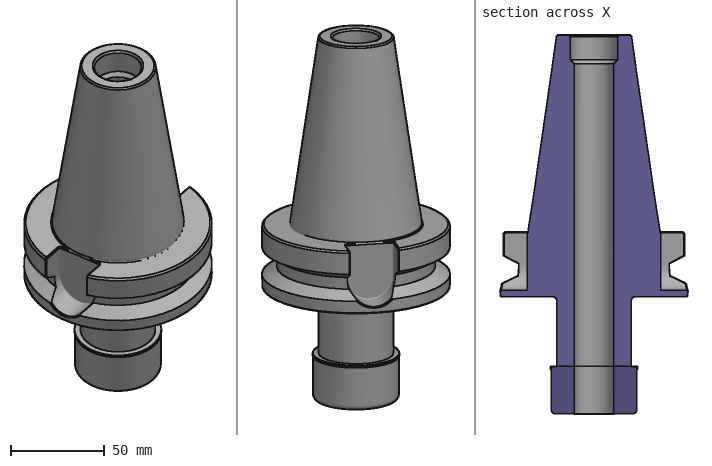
import cadquery as cq
total_height = 201.8
bore_dia = 20.8

nut_dia = 46.0
nut_height = 25.5
nut_bottom_fillet = 2.8
rim_dia = 46.5
rim_height = 1.8
rim_chamfer = 0.6

neck_dia = 40.0
neck_fillet = 2.0

flange_dia = 100.0
flange_bottom = 62.4
flange_top = 97.0
groove_dia = 84.4
lower_ring_top = 69.5
groove_floor_bottom = 73.7
groove_floor_top = 80.1
upper_ring_bottom = 84.4
flange_top_chamfer = 1.0
flange_bottom_chamfer = 0.6

taper_dia = 70.2
taper_bottom = 98.5
taper_base_fillet = 0.6
taper_ratio = 7 / 24
taper_top_chamfer = 0.8

socket_dia = 25.0
socket_depth = 13.3
socket_chamfer = 1.0

slot_width = 26.0
slot_floor_offset = 35.5
slot_bottom = 66.0
slot_edge_chamfer = 0.6
slot_floor_fillet = 0.6


def revolve_profile(points):
    """Revolve a closed (radius, height) outline about the Z axis."""
    return cq.Workplane("XZ").polyline(points).close().revolve(360, (0, 0, 0), (0, 1, 0))


def make_nut():
    rim_bottom = nut_height - rim_height
    body = cq.Workplane("XY").circle(nut_dia / 2).extrude(nut_height)
    body = body.faces("<Z").edges().fillet(nut_bottom_fillet)
    rim = cq.Workplane("XY").workplane(offset=rim_bottom).circle(rim_dia / 2).extrude(rim_height)
    rim = rim.edges().chamfer(rim_chamfer)
    bore = cq.Workplane("XY").circle(bore_dia / 2).extrude(nut_height)
    return body.union(rim).cut(bore)


def make_holder_blank():
    """Solid of revolution: neck, grooved flange and taper."""
    neck_radius = neck_dia / 2
    flange_radius = flange_dia / 2
    groove_radius = groove_dia / 2
    taper_radius = taper_dia / 2
    taper_top_radius = taper_radius - (total_height - taper_bottom) * taper_ratio / 2
    outline = (
        cq.Workplane("XZ")
        .moveTo(0, nut_height)
        .lineTo(neck_radius, nut_height)
        .lineTo(neck_radius, flange_bottom - neck_fillet)
        .radiusArc((neck_radius + neck_fillet, flange_bottom), neck_fillet)
        .lineTo(flange_radius - flange_bottom_chamfer, flange_bottom)
        .lineTo(flange_radius, flange_bottom + flange_bottom_chamfer)
        .lineTo(flange_radius, lower_ring_top)
        .lineTo(groove_radius, groove_floor_bottom)
        .lineTo(groove_radius, groove_floor_top)
        .lineTo(flange_radius, upper_ring_bottom)
        .lineTo(flange_radius, flange_top - flange_top_chamfer)
        .lineTo(flange_radius - flange_top_chamfer, flange_top)
        .lineTo(taper_radius + taper_base_fillet, flange_top)
        .radiusArc((taper_radius, flange_top + taper_base_fillet), taper_base_fillet)
        .lineTo(taper_radius, taper_bottom)
        .lineTo(taper_top_radius, total_height)
        .lineTo(0, total_height)
        .close()
    )
    blank = outline.revolve(360, (0, 0, 0), (0, 1, 0))
    return blank.faces(">Z").edges().chamfer(taper_top_chamfer)


def make_holder_bore():
    """Through bore, opening by a 45 degree cone into the wider socket."""
    bore_radius = bore_dia / 2
    socket_radius = socket_dia / 2
    socket_bottom = total_height - socket_depth
    return revolve_profile([
        (0, nut_height),
        (bore_radius, nut_height),
        (bore_radius, socket_bottom - (socket_radius - bore_radius)),
        (socket_radius, socket_bottom),
        (socket_radius, total_height - socket_chamfer),
        (socket_radius + socket_chamfer, total_height),
        (0, total_height),
    ])


def make_slot_cutter():
    """Round-bottomed cutter for the slot on the -Y side, open at the top and outside."""
    slot_radius = slot_width / 2
    arc_center = slot_bottom + slot_radius
    cutter = (
        cq.Workplane("XZ", origin=(0, -slot_floor_offset, 0))
        .moveTo(-slot_radius, total_height)
        .lineTo(-slot_radius, arc_center)
        .threePointArc((0, slot_bottom), (slot_radius, arc_center))
        .lineTo(slot_radius, total_height)
        .close()
        .extrude(flange_dia / 2)
    )
    return cutter.faces(">Y").edges("not >Z").fillet(slot_floor_fillet)


def chamfer_slot_mouths(holder):
    """Break the slot edges: top and outside in the upper ring, outside in the lower ring."""
    reach = slot_width / 2 + slot_edge_chamfer
    margin = slot_edge_chamfer / 2
    for side in (-1, 1):
        mouth = cq.selectors.BoxSelector(
            (-reach, side * (slot_floor_offset + slot_floor_fillet + margin), upper_ring_bottom + margin),
            (reach, side * flange_dia / 2, flange_top + margin),
        )
        holder = holder.edges(mouth).chamfer(slot_edge_chamfer)
        lower_arc = cq.selectors.BoxSelector(
            (-margin, side * groove_dia / 2, slot_bottom - margin),
            (margin, side * (flange_dia / 2 + margin), lower_ring_top),
        )
        holder = holder.edges(lower_arc).chamfer(slot_edge_chamfer)
    return holder


def make_holder():
    holder = make_holder_blank().cut(make_holder_bore())
    slot = make_slot_cutter()
    for angle in (0, 180):
        holder = holder.cut(slot.rotate((0, 0, 0), (0, 0, 1), angle))
    return chamfer_slot_mouths(holder)


nut = make_nut()
holder = make_holder()
result = cq.Compound.makeCompound([holder.val(), nut.val()])